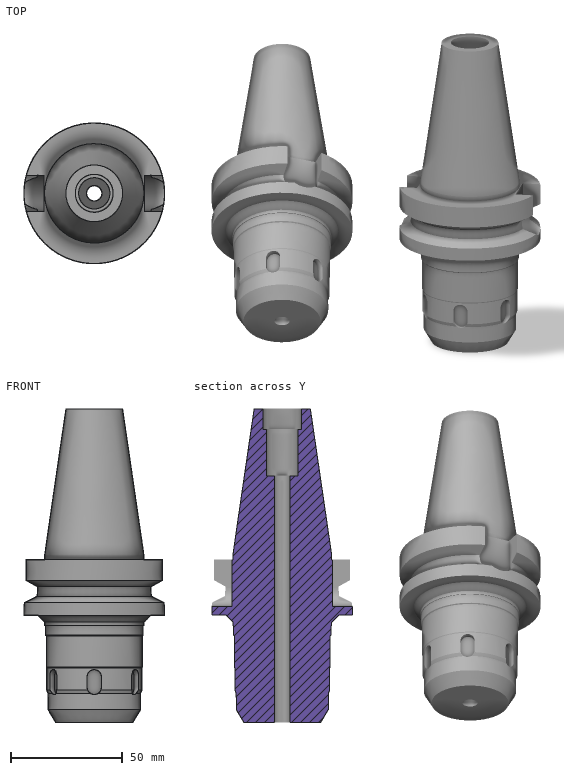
import cadquery as cq
import math


gauge_radius = 44.45 / 2
shank_length = 65.4
taper_ratio = 7 / 24
shank_tip_radius = gauge_radius - shank_length * taper_ratio / 2

flange_radius = 63.0 / 2
flange_top = -2.0
flange_bottom = -27.0
groove_center = -16.3
groove_floor_radius = 26.6
groove_floor_width = 4.3
groove_flank_angle = 30.0
groove_flank_height = (flange_radius - groove_floor_radius) * math.tan(math.radians(groove_flank_angle))
groove_floor_top = groove_center + groove_floor_width / 2
groove_floor_bottom = groove_center - groove_floor_width / 2

neck_cone_radius = 25.2
neck_radius = gauge_radius
neck_cone_height = neck_cone_radius - neck_radius
neck_bottom = -31.5
collar_radius = 21.9
collar_bottom = -35.8
collar_chamfer_height = 0.4
body_radius = 21.5
body_bottom = -50.1

nut_radius = 21.35
nut_top = -50.5
nut_bevel_top = -60.3
nut_bevel_bottom = -61.9
nut_nose_radius = 20.7
nose_cone_top = -69.1
nose_radius = 17.2
nose_bottom = -75.0

keyway_width = 16.1
keyway_floor = 22.5
keyway_arc_center = -14.8

slot_count = 6
slot_width = 6.4
slot_length = 11.1
slot_center = -56.8
slot_floor = 18.7

counterbore_radius = 17.0 / 2
counterbore_depth = 9.0
thread_radius = 14.0 / 2
thread_end_depth = 30.0
through_radius = 6.8 / 2


def turned_body():
    """Revolve the half section of the whole holder about Z."""
    outline = [
        (0, shank_length),
        (shank_tip_radius, shank_length),
        (gauge_radius, 0),
        (gauge_radius, flange_top),
        (flange_radius, flange_top),
        (flange_radius, groove_floor_top + groove_flank_height),
        (groove_floor_radius, groove_floor_top),
        (groove_floor_radius, groove_floor_bottom),
        (flange_radius, groove_floor_bottom - groove_flank_height),
        (flange_radius, flange_bottom),
        (neck_cone_radius, flange_bottom),
        (neck_radius, flange_bottom - neck_cone_height),
        (neck_radius, neck_bottom),
        (collar_radius, neck_bottom),
        (collar_radius, collar_bottom),
        (body_radius, collar_bottom - collar_chamfer_height),
        (body_radius, body_bottom),
        (nut_radius, nut_top),
        (nut_radius, nut_bevel_top),
        (nut_nose_radius, nut_bevel_bottom),
        (nut_nose_radius, nose_cone_top),
        (nose_radius, nose_bottom),
        (0, nose_bottom),
    ]
    return cq.Workplane("XZ").polyline(outline).close().revolve(360, (0, 0), (0, 1))


def axial_bore():
    """Stepped bore entering from the small end of the taper, open at both ends."""
    def drilled(radius, depth):
        return cq.Workplane("XY", origin=(0, 0, shank_length)).circle(radius).extrude(-depth)

    bore = drilled(through_radius, shank_length - nose_bottom)
    bore = bore.union(drilled(thread_radius, thread_end_depth))
    return bore.union(drilled(counterbore_radius, counterbore_depth))


def keyway():
    """Round-bottomed keyway on the +X side, open at the top of the flange."""
    half_width = keyway_width / 2
    return (
        cq.Workplane("YZ", origin=(keyway_floor, 0, 0))
        .moveTo(-half_width, flange_top)
        .lineTo(-half_width, keyway_arc_center)
        .threePointArc((0, keyway_arc_center - half_width), (half_width, keyway_arc_center))
        .lineTo(half_width, flange_top)
        .close()
        .extrude(flange_radius - keyway_floor)
    )


def spanner_slot():
    """Upright flat-floored slot on the -Y side of the nut."""
    return (
        cq.Workplane("XZ", origin=(0, -slot_floor, slot_center))
        .slot2D(slot_length, slot_width, 90)
        .extrude(body_radius - slot_floor)
    )


result = turned_body().cut(axial_bore())

for keyway_angle in (0, 180):
    result = result.cut(keyway().rotate((0, 0, 0), (0, 0, 1), keyway_angle))

for slot_index in range(slot_count):
    slot_angle = slot_index * 360 / slot_count
    result = result.cut(spanner_slot().rotate((0, 0, 0), (0, 0, 1), slot_angle))